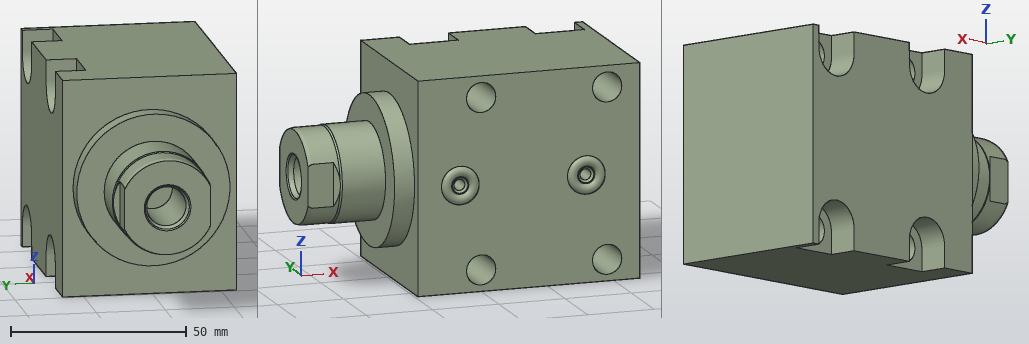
import cadquery as cq
import math

total_length = 95.8
block_length = 66.9
block_depth = 50.5
block_height = 63.5
block_start = total_length - block_length
front_face = -block_depth / 2
back_face = block_depth / 2

flange_diameter = 44.4
flange_thickness = 6.0
flange_start = block_start - flange_thickness
rod_diameter = 28.5
tip_diameter = 28.1
tip_length = 9.2
tip_chamfer_length = 1.2
tip_chamfer_depth = 0.3
shoulder_chamfer_length = 0.6
across_flats = 24.9
flat_length = 7.7

bore_diameter = 11.4
bore_depth = 23.9
bore_mouth_diameter = 13.5
bore_mouth_depth = 1.9
bore_chamfer = 0.4

hole_diameter = 8.8
hole_x = 47.9
hole_pitch_x = 38.0
hole_pitch_z = 50.8
slot_width = 14.7
slot_depth = 8.8

port_x = 41.6
ring_section_radius = 1.5
ring_outer_diameter = 11.3
port_diameter = 3.3
port_mouth_diameter = 4.6
port_depth = 9.6
port_tip_angle = 118.0


def make_block():
    """Rectangular cylinder body."""
    body = cq.Workplane("XY").box(block_length, block_depth, block_height)
    return body.translate((block_start + block_length / 2, 0, 0))


def make_rod():
    """Turned flange, rod and stepped tip, with two wrench flats across Y."""
    rod_radius = rod_diameter / 2
    tip_radius = tip_diameter / 2
    profile = [
        (0, 0),
        (0, tip_radius - tip_chamfer_depth),
        (tip_chamfer_length, tip_radius),
        (tip_length, tip_radius),
        (tip_length + shoulder_chamfer_length, rod_radius),
        (flange_start, rod_radius),
        (flange_start, flange_diameter / 2),
        (block_start, flange_diameter / 2),
        (block_start, 0),
    ]
    rod = cq.Workplane("XY").polyline(profile).close().revolve(360, (0, 0, 0), (1, 0, 0))

    flat_y = across_flats / 2
    run_out = rod_radius - flat_y
    flat_cut = (
        cq.Workplane("XY")
        .polyline([
            (0, flat_y),
            (flat_length, flat_y),
            (flat_length + run_out, rod_radius),
            (0, rod_radius),
        ])
        .close()
        .extrude(rod_radius, both=True)
    )
    return rod.cut(flat_cut).cut(flat_cut.mirror("XZ"))


def make_bore():
    """Blind bore with a tapered mouth and a 45 degree entry chamfer."""
    profile = [
        (0, 0),
        (0, bore_mouth_diameter / 2),
        (bore_chamfer, bore_mouth_diameter / 2 - bore_chamfer),
        (bore_mouth_depth, bore_diameter / 2),
        (bore_depth, bore_diameter / 2),
        (bore_depth, 0),
    ]
    return cq.Workplane("XY").polyline(profile).close().revolve(360, (0, 0, 0), (1, 0, 0))


def make_mounting_cut(x, side):
    """Through hole along Y and its round-ended slot; side is +1 at the top and -1 at the bottom."""
    hole_z = side * hole_pitch_z / 2
    edge_distance = block_height / 2 - hole_pitch_z / 2
    back_plane = cq.Workplane("XZ", origin=(x, back_face, hole_z))
    hole = back_plane.circle(hole_diameter / 2).extrude(block_depth)
    round_end = back_plane.circle(slot_width / 2).extrude(slot_depth)
    open_end = (
        back_plane.center(0, side * edge_distance / 2)
        .rect(slot_width, edge_distance)
        .extrude(slot_depth)
    )
    return hole.union(round_end).union(open_end)


def make_ring(x):
    """Seal ring whose section is centred on the front face."""
    ring_radius = ring_outer_diameter / 2 - ring_section_radius
    ring = cq.Solid.makeTorus(
        ring_radius, ring_section_radius, cq.Vector(x, front_face, 0), cq.Vector(0, 1, 0)
    )
    return cq.Workplane(obj=ring)


def make_port(x):
    """Drilled port with a 45 degree chamfered mouth and a conical bottom."""
    port_radius = port_diameter / 2
    mouth_radius = port_mouth_diameter / 2
    tip_depth = port_radius / math.tan(math.radians(port_tip_angle / 2))
    profile = [
        (0, 0),
        (mouth_radius, 0),
        (port_radius, mouth_radius - port_radius),
        (port_radius, port_depth),
        (0, port_depth + tip_depth),
    ]
    port = cq.Workplane("XY").polyline(profile).close().revolve(360, (0, 0, 0), (0, 1, 0))
    return port.translate((x, front_face, 0))


result = make_block().union(make_rod()).cut(make_bore())
for column in range(2):
    offset_x = column * hole_pitch_x
    for side in (1, -1):
        result = result.cut(make_mounting_cut(hole_x + offset_x, side))
    result = result.union(make_ring(port_x + offset_x)).cut(make_port(port_x + offset_x))